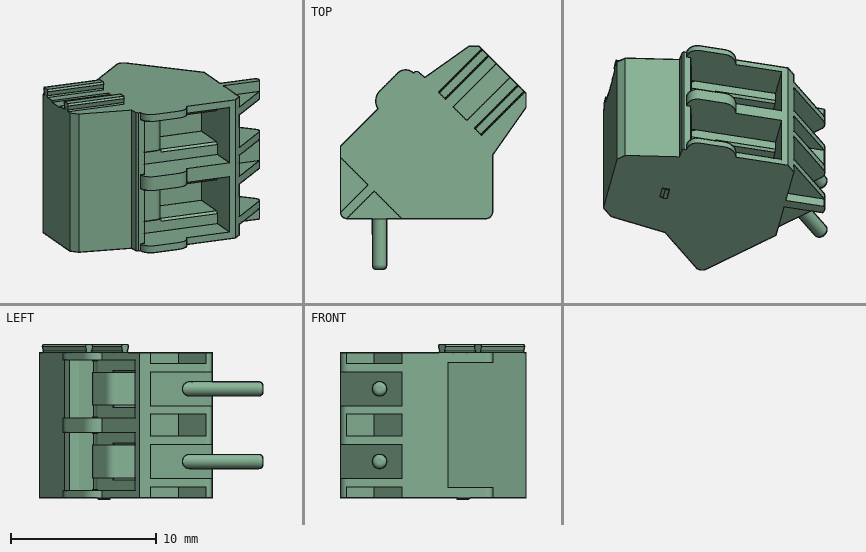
import cadquery as cq
import math

ROOT2 = math.sqrt(2)

POLE_PITCH = 5.0
POLE_COUNT = 2
BODY_HEIGHT = POLE_PITCH * POLE_COUNT
POLE_CENTRES = [POLE_PITCH * (i + 0.5) for i in range(POLE_COUNT)]
POLE_BOUNDARIES = [POLE_PITCH * i for i in range(POLE_COUNT + 1)]

BASE_WIDTH = 10.5
CORNER_RADIUS = 0.5
ENTRY_FACE_START_Y = 5.0
ENTRY_FACE_END_X = 5.16
CREST_WIDTH = 0.17
NECK_X, NECK_Y = 5.82, 9.74
TIP_LEFT_X, TIP_TOP_Y = 8.87, 11.9
OVERALL_X = 12.8
TIP_DIAGONAL = 21.44
TIP_RIGHT_Y = 7.68
FOOT_X = 7.41
SHOULDER_Y = (BASE_WIDTH - FOOT_X) * TIP_RIGHT_Y / (OVERALL_X - FOOT_X)
SIDE_PLATE = 0.7

LUG_START, LUG_LENGTH, LUG_HEIGHT = 3.66, 3.47, 0.77
LUG_LOWER_ROUND = 0.95
LUG_ROOT = 0.3
LUG_HALF_THICKNESS = 0.5

RELIEF_LEG = 4.25
WEB_THICKNESS = 0.6
WEB_POCKET_HALF_HEIGHT = 0.76
PIN_SLOT_HEIGHT = 2.35

PIN_X = 2.7
PIN_DIAMETER = 1.0
PIN_LENGTH = 3.5
PIN_TIP_RADIUS = 0.3
PIN_ROOT_Y = 2.4

POCKET_HEIGHT = 4.0
POCKET_LOW, POCKET_RIM = 0.44, 6.84
POCKET_BACK = 6.64
POCKET_DRAFT_DEPTH = 0.75
POCKET_FLOOR = 2.06
GROOVE_WIDTH, GROOVE_DEPTH = 3.84, 2.145
GROOVE_RAMP_START, GROOVE_RAMP_END = 6.15, 6.42
LEVER_WIDTH = 2.24
LEVER_BEND_START, LEVER_TOP = 5.22, 1.98
LEVER_RADIUS = 0.65
LEVER_LEAN = math.radians(15)
LEVER_DROP = 0.06
PIT_RIM, PIT_DEPTH = 4.67, 4.8
PIT_CHAMFER = 0.16

AXIS_OFFSET = 1.0
RIB_START_DIAGONAL = 15.48
RIB_START = RIB_START_DIAGONAL / ROOT2
AXIS_TIP = TIP_DIAGONAL / ROOT2
RIB_SPACING = 3.5
RIB_HEIGHT = 0.57
RIB_WIDEST_Z, RIB_WAIST_Z = 0.42, 0.1
RIB_TOP_WIDTH, RIB_MAX_WIDTH, RIB_WAIST_WIDTH, RIB_FOOT_WIDTH = 0.54, 0.7, 0.48, 0.62
RECESS_WIDTH, RECESS_DEPTH = 1.335, 0.12
NUB_START_GAP = 0.12
NUB_WIDTH, NUB_ROOT_LENGTH, NUB_TOP_LENGTH, NUB_HEIGHT = 0.81, 0.5, 0.29, 0.11


def centred_prism(plane_of_z, points, z_centre, height):
    """Extrude a polygon symmetrically about the height z_centre."""
    return plane_of_z(z_centre).polyline(points).close().extrude(height / 2, both=True)


def flat_plane(z):
    return cq.Workplane("XY", origin=(0, 0, z))


def entry_plane(z):
    """Local x runs up the entry face, local y points out of it."""
    return cq.Workplane(cq.Plane(origin=(0, ENTRY_FACE_START_Y, z), xDir=(1, 1, 0), normal=(0, 0, 1)))


def axis_plane(z):
    """Local x runs along the diagonal axis towards the tip."""
    origin = (AXIS_OFFSET / 2, -AXIS_OFFSET / 2, z)
    return cq.Workplane(cq.Plane(origin=origin, xDir=(1, 1, 0), normal=(0, 0, 1)))


def make_body():
    crest_y = ENTRY_FACE_START_Y + ENTRY_FACE_END_X
    outline = [
        (0, 0),
        (BASE_WIDTH, 0),
        (BASE_WIDTH, SHOULDER_Y),
        (OVERALL_X, TIP_RIGHT_Y),
        (OVERALL_X, TIP_DIAGONAL - OVERALL_X),
        (TIP_DIAGONAL - TIP_TOP_Y, TIP_TOP_Y),
        (TIP_LEFT_X, TIP_TOP_Y),
        (NECK_X, NECK_Y),
        (ENTRY_FACE_END_X + CREST_WIDTH, crest_y),
        (ENTRY_FACE_END_X, crest_y),
        (0, ENTRY_FACE_START_Y),
    ]
    body = flat_plane(0).polyline(outline).close().extrude(BODY_HEIGHT)
    for corner_x in (0, BASE_WIDTH):
        corner = cq.selectors.NearestToPointSelector((corner_x, 0, BODY_HEIGHT / 2))
        body = body.edges(corner).fillet(CORNER_RADIUS)
    return body


def side_bay():
    """Space between the two side plates, outside the flank line."""
    bay = [(FOOT_X, 0), (BASE_WIDTH, 0), (BASE_WIDTH, SHOULDER_Y)]
    return centred_prism(flat_plane, bay, BODY_HEIGHT / 2, BODY_HEIGHT - 2 * SIDE_PLATE)


def lug(z):
    """Round-cornered tab standing on the entry face, centred on a pole boundary."""
    end = LUG_START + LUG_LENGTH
    profile = (
        entry_plane(z)
        .moveTo(LUG_START, -LUG_ROOT)
        .lineTo(end, -LUG_ROOT)
        .lineTo(end, 0)
        .radiusArc((end - LUG_HEIGHT, LUG_HEIGHT), -LUG_HEIGHT)
        .lineTo(LUG_START + LUG_LOWER_ROUND, LUG_HEIGHT)
        .tangentArcPoint((LUG_START, 0), relative=False)
        .close()
    )
    slab = flat_plane(0).rect(OVERALL_X, TIP_TOP_Y, centered=False).extrude(BODY_HEIGHT)
    return profile.extrude(LUG_HALF_THICKNESS, both=True).intersect(slab)


def pin_slot(z):
    """Clears the whole corner around one pin."""
    corner = [(0, 0), (RELIEF_LEG, 0), (0, RELIEF_LEG)]
    return centred_prism(flat_plane, corner, z, PIN_SLOT_HEIGHT)


def web_pockets(z):
    """Two mirrored triangular pockets that leave a diagonal web between them."""
    web_leg = WEB_THICKNESS / ROOT2
    apex_far = (RELIEF_LEG + web_leg) / 2
    apex_near = (RELIEF_LEG - web_leg) / 2
    lower = [(web_leg, 0), (RELIEF_LEG, 0), (apex_far, apex_near)]
    upper = [(y, x) for x, y in lower]
    height = 2 * WEB_POCKET_HALF_HEIGHT
    return centred_prism(flat_plane, lower, z, height).add(centred_prism(flat_plane, upper, z, height))


def pin(z):
    tail = cq.Workplane("XZ", origin=(PIN_X, PIN_ROOT_Y, z)).circle(PIN_DIAMETER / 2)
    return tail.extrude(PIN_ROOT_Y + PIN_LENGTH).faces("<Y").edges().fillet(PIN_TIP_RADIUS)


def wire_pocket(z):
    """Window in the entry face, with a groove and a funnelled pit sunk into its floor."""
    window = [
        (POCKET_LOW, 0),
        (POCKET_RIM, 0),
        (POCKET_BACK, -POCKET_DRAFT_DEPTH),
        (POCKET_BACK, -POCKET_FLOOR),
        (POCKET_LOW, -POCKET_FLOOR),
    ]
    groove = [
        (GROOVE_RAMP_START, -POCKET_FLOOR),
        (POCKET_BACK, -POCKET_FLOOR),
        (POCKET_BACK, -GROOVE_DEPTH),
        (GROOVE_RAMP_END, -GROOVE_DEPTH),
    ]
    pit = [
        (POCKET_LOW, -POCKET_FLOOR),
        (LEVER_BEND_START, -POCKET_FLOOR),
        (LEVER_BEND_START, -PIT_DEPTH),
        (POCKET_LOW, -PIT_DEPTH),
    ]
    half_width = LEVER_WIDTH / 2
    funnel_origin = entry_plane(z).plane.toWorldCoords((POCKET_LOW, 0, 0))
    funnel_plane = cq.Plane(origin=funnel_origin, xDir=(-1, 1, 0), normal=(1, 1, 0))
    funnel = (
        cq.Workplane(funnel_plane)
        .moveTo(-POCKET_FLOOR, -half_width - PIT_CHAMFER)
        .lineTo(-POCKET_FLOOR, half_width + PIT_CHAMFER)
        .lineTo(-POCKET_FLOOR - PIT_CHAMFER, half_width)
        .lineTo(-POCKET_FLOOR - PIT_CHAMFER, -half_width)
        .close()
        .extrude(PIT_RIM - POCKET_LOW)
    )
    pocket = centred_prism(entry_plane, window, z, POCKET_HEIGHT)
    pocket = pocket.union(centred_prism(entry_plane, groove, z, GROOVE_WIDTH))
    return pocket.union(centred_prism(entry_plane, pit, z, LEVER_WIDTH)).union(funnel)


def lever(z):
    """Clamp lever lying on the pocket floor, rounded over into the pit."""
    bend_end = LEVER_BEND_START - LEVER_RADIUS * math.cos(LEVER_LEAN)
    bend_end_depth = LEVER_TOP + LEVER_RADIUS * (1 - math.sin(LEVER_LEAN))
    toe = bend_end - (PIT_DEPTH - bend_end_depth) * math.tan(LEVER_LEAN)
    profile = (
        entry_plane(z)
        .moveTo(POCKET_BACK, -PIT_DEPTH)
        .lineTo(POCKET_BACK, -LEVER_TOP - LEVER_DROP)
        .lineTo(GROOVE_RAMP_END, -LEVER_TOP)
        .lineTo(LEVER_BEND_START, -LEVER_TOP)
        .radiusArc((bend_end, -bend_end_depth), -LEVER_RADIUS)
        .lineTo(toe, -PIT_DEPTH)
        .close()
    )
    return profile.extrude(LEVER_WIDTH / 2, both=True)


def rib(side_offset):
    """Dovetail rib on top of the body, running out to the tip face."""
    half_section = [
        (RIB_FOOT_WIDTH / 2, 0),
        (RIB_WAIST_WIDTH / 2, RIB_WAIST_Z),
        (RIB_MAX_WIDTH / 2, RIB_WIDEST_Z),
        (RIB_TOP_WIDTH / 2, RIB_HEIGHT),
    ]
    section = half_section + [(-x, z) for x, z in reversed(half_section)]
    start = axis_plane(BODY_HEIGHT).plane.toWorldCoords((RIB_START, side_offset, 0))
    end_plane = cq.Plane(origin=start, xDir=(-1, 1, 0), normal=(1, 1, 0))
    return cq.Workplane(end_plane).polyline(section).close().extrude(AXIS_TIP - RIB_START)


def recess():
    """Shallow channel between the ribs, open at the tip face."""
    length = AXIS_TIP - RIB_START
    middle = (RIB_START + AXIS_TIP) / 2
    return axis_plane(BODY_HEIGHT).center(middle, 0).rect(length, RECESS_WIDTH).extrude(-RECESS_DEPTH)


def nub():
    """Wedge under the body that snaps into the recess of a neighbouring part."""
    start = RIB_START + NUB_START_GAP
    profile = [
        (start, 0),
        (start + NUB_ROOT_LENGTH, 0),
        (start + NUB_TOP_LENGTH, -NUB_HEIGHT),
        (start, -NUB_HEIGHT),
    ]
    side_plane = cq.Plane(origin=(AXIS_OFFSET / 2, -AXIS_OFFSET / 2, 0), xDir=(1, 1, 0), normal=(1, -1, 0))
    return cq.Workplane(side_plane).polyline(profile).close().extrude(NUB_WIDTH / 2, both=True)


result = make_body().cut(side_bay()).cut(recess())
for boundary in POLE_BOUNDARIES:
    result = result.cut(web_pockets(boundary)).union(lug(boundary))
for pole in POLE_CENTRES:
    result = result.cut(pin_slot(pole)).union(pin(pole))
    result = result.cut(wire_pocket(pole)).union(lever(pole))
for side in (-1, 1):
    result = result.union(rib(side * RIB_SPACING / 2))
result = result.union(nub())